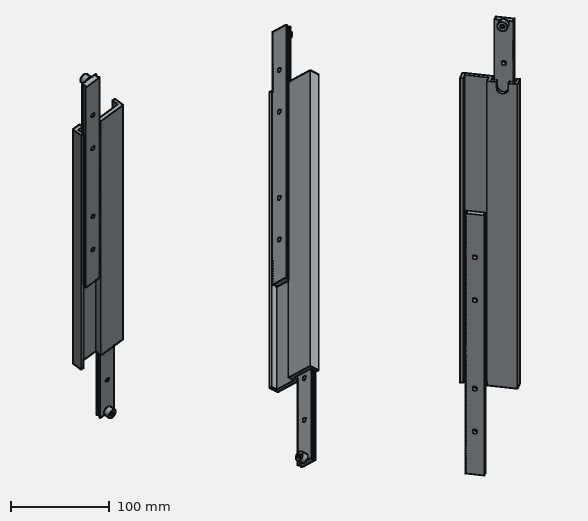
import cadquery as cq

TOTAL_WIDTH_X = 14.0
TOTAL_LENGTH = 525.0

HOUSING_THICKNESS = 12.0
HOUSING_WIDTH = 60.0
HOUSING_LENGTH = 350.5
HOUSING_BOTTOM_Z = 105.0
CHANNEL_WIDTH = 24.5
CHANNEL_FLOOR_X = 1.5
CHANNEL_OFFSET_Y = 14.0
NOTCH_WIDTH = 12.0
NOTCH_DEPTH = 12.5

RAIL_WIDTH = 20.0
RAIL_THICKNESS = 6.5
RAIL_LENGTH = 299.5
GROOVE_WIDTH = 3.5
GROOVE_DEPTH = 1.0
HOLE_DIAMETER = 4.5
HOLE_SPACING = 49.5
STOP_DIAMETER = 10.5
STOP_BORE_DIAMETER = 4.0
STOP_BORE_DEPTH = 2.5
STOP_OVERHANG = 1.5

RAIL_OUTER_X = TOTAL_WIDTH_X / 2
RAIL_INNER_X = RAIL_OUTER_X - RAIL_THICKNESS
HOUSING_FACE_X = HOUSING_THICKNESS / 2
HOUSING_TOP_Z = HOUSING_BOTTOM_Z + HOUSING_LENGTH


def box(x_range, y_range, z_range):
    """Box between pairs of coordinate limits."""
    low, high = zip(x_range, y_range, z_range)
    size = [end - start for start, end in zip(low, high)]
    return cq.Workplane("XY").box(*size, centered=False).translate(low)


def cylinder_x(diameter, x_start, x_end, y, z):
    """Cylinder along X."""
    return (
        cq.Workplane("YZ", origin=(x_start, y, z))
        .circle(diameter / 2)
        .extrude(x_end - x_start)
    )


def make_channel():
    """Cutter for the channel in the -X face, running the full housing length."""
    return box(
        (-HOUSING_FACE_X, CHANNEL_FLOOR_X),
        (CHANNEL_OFFSET_Y - CHANNEL_WIDTH / 2, CHANNEL_OFFSET_Y + CHANNEL_WIDTH / 2),
        (HOUSING_BOTTOM_Z, HOUSING_TOP_Z),
    )


def make_notch():
    """Round-bottomed cutter that lets the upper stop enter the wall behind its channel."""
    y = -CHANNEL_OFFSET_Y
    half_width = NOTCH_WIDTH / 2
    arc_z = HOUSING_TOP_Z - NOTCH_DEPTH + half_width
    slot = box(
        (-HOUSING_FACE_X, -CHANNEL_FLOOR_X),
        (y - half_width, y + half_width),
        (arc_z, HOUSING_TOP_Z),
    )
    return slot.union(cylinder_x(NOTCH_WIDTH, -HOUSING_FACE_X, -CHANNEL_FLOOR_X, y, arc_z))


def make_housing():
    housing = box(
        (-HOUSING_FACE_X, HOUSING_FACE_X),
        (-HOUSING_WIDTH / 2, HOUSING_WIDTH / 2),
        (HOUSING_BOTTOM_Z, HOUSING_TOP_Z),
    )
    channel = make_channel()
    opposite_channel = channel.rotate((0, 0, 0), (0, 0, 1), 180)
    return housing.cut(channel).cut(opposite_channel).cut(make_notch())


def make_rail():
    """Lower rail: on the -X side, with its stop at the bottom end pointing to +X."""
    bottom_z = STOP_OVERHANG
    top_z = bottom_z + RAIL_LENGTH
    half_width = RAIL_WIDTH / 2
    groove_x = -(RAIL_OUTER_X + RAIL_INNER_X) / 2
    outer_edge = groove_x - GROOVE_WIDTH / 2
    inner_edge = groove_x + GROOVE_WIDTH / 2

    rail = box(
        (-RAIL_OUTER_X, -RAIL_INNER_X),
        (CHANNEL_OFFSET_Y - half_width, CHANNEL_OFFSET_Y + half_width),
        (bottom_z, top_z),
    )
    for side in (-1, 1):
        edge_y = CHANNEL_OFFSET_Y + side * half_width
        groove_floor_y = edge_y - side * GROOVE_DEPTH
        rail = rail.cut(box(
            (outer_edge, inner_edge),
            (min(edge_y, groove_floor_y), max(edge_y, groove_floor_y)),
            (bottom_z, top_z),
        ))
    for step in (1, 2):
        for hole_z in (bottom_z + step * HOLE_SPACING, top_z - step * HOLE_SPACING):
            rail = rail.cut(
                cylinder_x(HOLE_DIAMETER, -RAIL_OUTER_X, -RAIL_INNER_X, CHANNEL_OFFSET_Y, hole_z)
            )
    stop = cylinder_x(
        STOP_DIAMETER, -RAIL_INNER_X, HOUSING_FACE_X, CHANNEL_OFFSET_Y, STOP_DIAMETER / 2
    )
    stop_bore = cylinder_x(
        STOP_BORE_DIAMETER,
        HOUSING_FACE_X - STOP_BORE_DEPTH,
        HOUSING_FACE_X,
        CHANNEL_OFFSET_Y,
        STOP_DIAMETER / 2,
    )
    return rail.union(stop.cut(stop_bore))


housing = make_housing()
lower_rail = make_rail()
upper_rail = (
    make_rail()
    .rotate((0, 0, TOTAL_LENGTH / 2), (0, 1, TOTAL_LENGTH / 2), 180)
    .translate((0, -2 * CHANNEL_OFFSET_Y, 0))
)

result = cq.Compound.makeCompound([housing.val(), lower_rail.val(), upper_rail.val()])